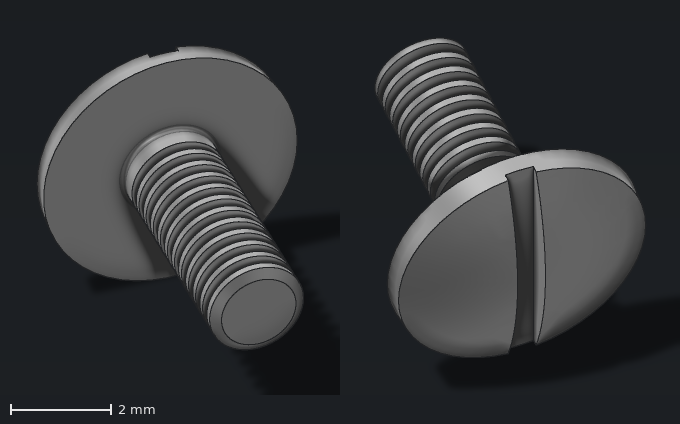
import cadquery as cq
import math

tip_x = 5.99
head_diameter = 5.4
seat_x = 0.995
rim_x = 0.5
rim_draft = 5.0
crown_x = -0.005

slot_width = 0.6
slot_floor_x = 0.64

shank_radius = 1.0
neck_fillet = 0.115
neck_flare = 0.085

thread_start_x = 1.595
thread_count = 11
flank_length = 0.12
flank_angle = 30.0

head_radius = head_diameter / 2
rim_radius = head_radius - (seat_x - rim_x) * math.tan(math.radians(rim_draft))
root_radius = shank_radius - flank_length / math.tan(math.radians(flank_angle))
thread_pitch = (tip_x - thread_start_x) / thread_count

dome_height = rim_x - crown_x
dome_radius = (rim_radius**2 + dome_height**2) / (2 * dome_height)
half_angle = math.asin(rim_radius / dome_radius) / 2
dome_middle = (
    crown_x + dome_radius * (1 - math.cos(half_angle)),
    dome_radius * math.sin(half_angle),
)

arc_fraction = 1 - math.sqrt(0.5)
neck_middle = (
    seat_x + neck_fillet * arc_fraction,
    shank_radius + neck_flare * arc_fraction,
)


def screw_body():
    """Revolve the half profile of head, neck and ring-shaped threads about X."""
    profile = (
        cq.Workplane("XY")
        .moveTo(crown_x, 0)
        .threePointArc(dome_middle, (rim_x, rim_radius))
        .lineTo(seat_x, head_radius)
        .lineTo(seat_x, shank_radius + neck_flare)
        .threePointArc(neck_middle, (seat_x + neck_fillet, shank_radius))
        .lineTo(thread_start_x - flank_length, shank_radius)
        .lineTo(thread_start_x, root_radius)
    )
    for index in range(thread_count):
        root_x = thread_start_x + index * thread_pitch
        next_root_x = root_x + thread_pitch
        profile = (
            profile.lineTo(root_x + flank_length, shank_radius)
            .lineTo(next_root_x - flank_length, shank_radius)
            .lineTo(next_root_x, root_radius)
        )
    return profile.lineTo(tip_x, 0).close().revolve(360, (0, 0, 0), (1, 0, 0))


def driver_slot():
    """Straight slot across the whole head along Z, open at the dome."""
    length_beyond_dome = slot_width
    return cq.Workplane("XY").box(
        slot_floor_x + length_beyond_dome, slot_width, 2 * head_diameter
    ).translate(((slot_floor_x - length_beyond_dome) / 2, 0, 0))


result = screw_body().cut(driver_slot())